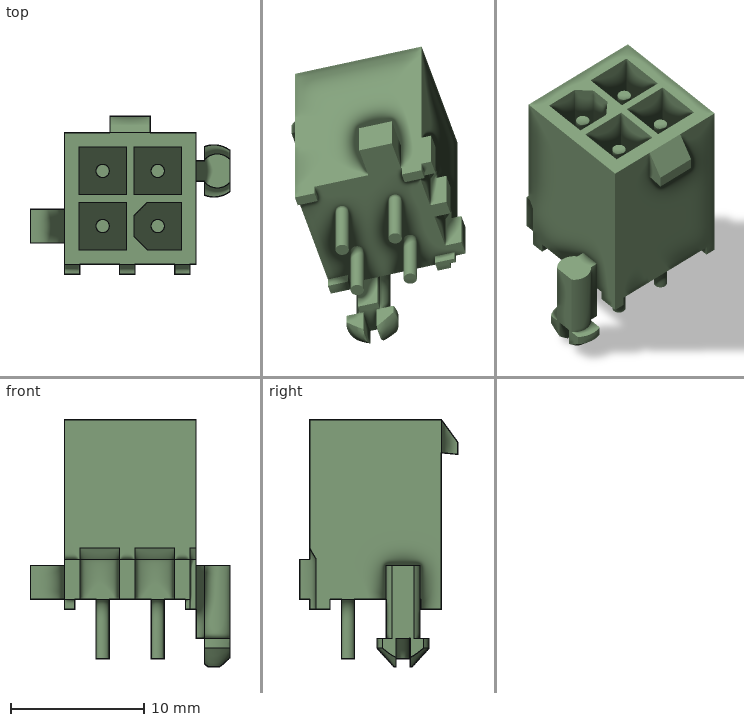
import cadquery as cq


body_size = 9.9
body_half = body_size / 2
body_height = 13.5
foot_width = 0.8
foot_length = 1.55
foot_height = 0.75

pitch = 4.14
rows = (-pitch / 2, pitch / 2)

pin_diameter = 1.0
pin_bottom_z = -4.47
pin_top_z = body_height - 1.4
pin_length = pin_top_z - pin_bottom_z

cavity_size = 3.57
cavity_floor_z = 3.0
cavity_depth = body_height - cavity_floor_z
key_chamfer = 1.0

rib_width = 1.18
rib_depth = 0.75
rib_height = 3.0
rib_starts = [-body_half + i * pitch for i in range(3)]
recess_depth = 0.5
recess_top_z = 3.86

latch_width = 3.05
latch_depth = 1.24
latch_nose_top_z = body_height - 1.7
latch_nose_bottom_z = body_height - 2.62
latch_root_z = body_height - 2.5

block_size = 2.55

peg_y = rows[1]
peg_top_z = 2.55
peg_left_x = 5.58
peg_right_x = body_half + 2.56
peg_width = peg_right_x - peg_left_x
web_thickness = 1.55
post_diameter = 2.55
post_x = (peg_left_x + peg_right_x) / 2
barb_x = 6.29
barb_radius = 1.965
barb_top_z = -2.93
barb_cone_z = -3.67
barb_tip_z = -5.07
barb_tip_radius = 0.68
slot_width = 1.05


def box(x_min, x_max, y_min, y_max, z_min, z_max):
    """Axis-aligned box between the given limits."""
    return cq.Workplane("XY").box(
        x_max - x_min, y_max - y_min, z_max - z_min, centered=False
    ).translate((x_min, y_min, z_min))


def make_block_with_feet():
    block = box(-body_half, body_half, -body_half, body_half, 0, body_height)
    feet = (
        cq.Workplane("XY")
        .rect(body_size - foot_width, body_size - foot_length, forConstruction=True)
        .vertices()
        .rect(foot_width, foot_length)
        .extrude(-foot_height)
    )
    return block.union(feet)


def make_cavity(x, y, keyed):
    """Square contact cavity; the keyed one has its two -X corners cut off."""
    cavity = (
        cq.Workplane("XY", origin=(x, y, cavity_floor_z))
        .rect(cavity_size, cavity_size)
        .extrude(cavity_depth)
    )
    if keyed:
        cavity = cavity.edges("|Z and <X").chamfer(key_chamfer)
    return cavity


def make_recess(x_min, x_max):
    """Recess in the -Y face, open downwards, with a sloping roof."""
    face_y = -body_half
    back_y = face_y + recess_depth
    return (
        cq.Workplane("YZ", origin=(x_min, 0, 0))
        .moveTo(face_y, -foot_height)
        .lineTo(back_y, -foot_height)
        .lineTo(back_y, rib_height)
        .lineTo(face_y, recess_top_z)
        .close()
        .extrude(x_max - x_min)
    )


def make_rib(x_min):
    return box(x_min, x_min + rib_width, -body_half - rib_depth, -body_half, 0, rib_height)


def make_latch():
    nose_y = body_half + latch_depth
    return (
        cq.Workplane("YZ", origin=(-latch_width / 2, 0, 0))
        .moveTo(body_half, body_height)
        .lineTo(nose_y, latch_nose_top_z)
        .lineTo(nose_y, latch_nose_bottom_z)
        .lineTo(body_half, latch_root_z)
        .close()
        .extrude(latch_width)
    )


def make_locating_block():
    y_min = rows[0] - block_size / 2
    return box(-body_half - block_size, -body_half, y_min, y_min + block_size, 0, block_size)


def make_peg():
    """Web, round post and slotted conical barb, trimmed flat on both X sides."""
    post = (
        cq.Workplane("XY", origin=(post_x, peg_y, barb_top_z))
        .circle(post_diameter / 2)
        .extrude(peg_top_z - barb_top_z)
    )
    barb = (
        cq.Workplane("XZ")
        .moveTo(0, barb_top_z)
        .lineTo(barb_radius, barb_top_z)
        .lineTo(barb_radius, barb_cone_z)
        .lineTo(barb_tip_radius, barb_tip_z)
        .lineTo(0, barb_tip_z)
        .close()
        .revolve(360, (0, 0, 0), (0, 1, 0))
        .translate((barb_x, peg_y, 0))
    )
    flats = box(
        peg_left_x, peg_left_x + peg_width,
        peg_y - barb_radius, peg_y + barb_radius,
        barb_tip_z, peg_top_z,
    )
    slot = box(
        peg_left_x, peg_right_x,
        peg_y - slot_width / 2, peg_y + slot_width / 2,
        barb_tip_z, barb_top_z,
    )
    web = box(
        body_half, post_x,
        peg_y - web_thickness / 2, peg_y + web_thickness / 2,
        barb_top_z, peg_top_z,
    )
    return post.union(barb).intersect(flats).cut(slot).union(web)


def make_pin(x, y):
    return (
        cq.Workplane("XY", origin=(x, y, pin_bottom_z))
        .circle(pin_diameter / 2)
        .extrude(pin_length)
    )


def make_housing(pins):
    housing = make_block_with_feet()

    recess_ends = rib_starts[1:] + [body_half]
    for rib_start, recess_end in zip(rib_starts, recess_ends):
        housing = housing.cut(make_recess(rib_start + rib_width, recess_end))
        housing = housing.union(make_rib(rib_start))

    for x in rows:
        for y in rows:
            is_keyed = x > 0 and y < 0
            housing = housing.cut(make_cavity(x, y, is_keyed))

    housing = housing.union(make_latch()).union(make_locating_block()).union(make_peg())

    for pin in pins:
        housing = housing.cut(pin)
    return housing


contact_pins = [make_pin(x, y) for x in rows for y in rows]
housing = make_housing(contact_pins)

result = cq.Compound.makeCompound([housing.solids().val(), *[pin.val() for pin in contact_pins]])